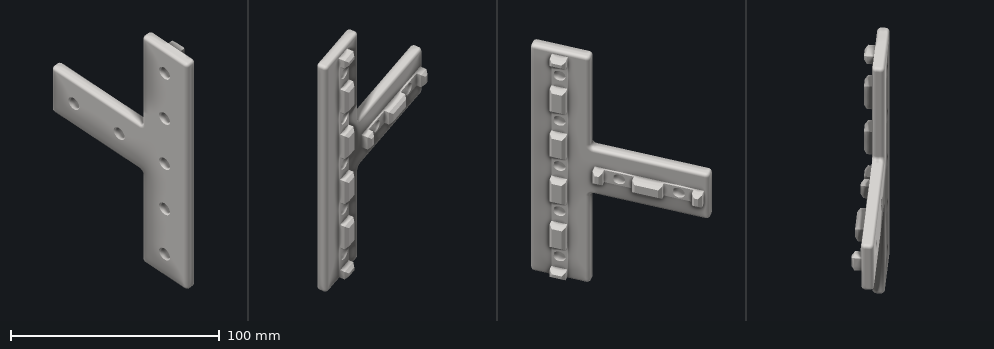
import cadquery as cq

BAR_WIDTH = 30.0
T_WIDTH = 90.0
T_HEIGHT = 150.0
PLATE_THICKNESS = 6.0
EDGE_RADIUS = 2.0

HOLE_DIAMETER = 6.2
HOLE_CHAMFER = 0.5

RAIL_WIDTH = 8.0
RAIL_END_GAP = 2.5
STRIP_HEIGHT = 1.0
TAB_HEIGHT = 5.0
TAB_CHAMFER = 1.5
TAB_GAP = 15.0

ARM_LENGTH = T_WIDTH - BAR_WIDTH
STEM_X = T_WIDTH - BAR_WIDTH / 2
ARM_Z = T_HEIGHT / 2
ARM_HOLES = [BAR_WIDTH * (i + 0.5) for i in range(round(ARM_LENGTH / BAR_WIDTH))]
STEM_HOLES = [BAR_WIDTH * (i + 0.5) for i in range(round(T_HEIGHT / BAR_WIDTH))]


def box_between(x_range, y_range, z_range):
    """Axis-aligned box given by its limits along X, Y and Z."""
    limits = (x_range, y_range, z_range)
    sizes = [high - low for low, high in limits]
    corner = tuple(low for low, high in limits)
    return cq.Workplane("XY").box(*sizes, centered=False).translate(corner)


def make_plate():
    """T-shaped plate with every edge rounded."""
    thickness = (0, PLATE_THICKNESS)
    arm_sides = (ARM_Z - BAR_WIDTH / 2, ARM_Z + BAR_WIDTH / 2)
    stem = box_between((ARM_LENGTH, T_WIDTH), thickness, (0, T_HEIGHT))
    arm = box_between((0, T_WIDTH), thickness, arm_sides)
    return stem.union(arm).clean().edges().fillet(EDGE_RADIUS)


def make_tab(start, end):
    """Tab along local X, standing on local Z = 0, with its four top edges sloped."""
    tab = cq.Workplane("XY").box(end - start, RAIL_WIDTH, TAB_HEIGHT, centered=(True, True, False))
    tab = tab.faces(">Z").chamfer(TAB_CHAMFER)
    return tab.translate(((start + end) / 2, 0, 0))


def make_rail(rail_end, hole_positions):
    """Rail along local X, standing on local Z = 0, with a tab on either side of every hole."""
    strip_length = rail_end - RAIL_END_GAP
    rail = cq.Workplane("XY").box(strip_length, RAIL_WIDTH, STRIP_HEIGHT, centered=(False, True, False))
    rail = rail.translate((RAIL_END_GAP, 0, 0))
    tab_starts = [RAIL_END_GAP] + [hole + TAB_GAP / 2 for hole in hole_positions]
    tab_ends = [hole - TAB_GAP / 2 for hole in hole_positions] + [rail_end]
    for start, end in zip(tab_starts, tab_ends):
        rail = rail.union(make_tab(start, end))
    return rail


def make_arm_rail():
    """Rail on the back of the arm, running along X."""
    rail = make_rail(ARM_LENGTH - RAIL_END_GAP, ARM_HOLES)
    return rail.rotate((0, 0, 0), (1, 0, 0), -90).translate((0, PLATE_THICKNESS, ARM_Z))


def make_stem_rail():
    """Rail on the back of the stem, running along Z."""
    rail = make_rail(T_HEIGHT - RAIL_END_GAP, STEM_HOLES)
    rail = rail.rotate((0, 0, 0), (1, 0, 0), -90).rotate((0, 0, 0), (0, 1, 0), -90)
    return rail.translate((STEM_X, PLATE_THICKNESS, 0))


def make_hole_cutter(x, z):
    """Through hole along Y with a small chamfer at the front face."""
    radius = HOLE_DIAMETER / 2
    depth = PLATE_THICKNESS + TAB_HEIGHT
    axis = cq.Vector(0, 1, 0)
    mouth = cq.Vector(x, 0, z)
    bore = cq.Solid.makeCylinder(radius, depth, mouth, axis)
    chamfer = cq.Solid.makeCone(radius + HOLE_CHAMFER, radius, HOLE_CHAMFER, mouth, axis)
    return bore.fuse(chamfer)


result = make_plate().union(make_arm_rail()).union(make_stem_rail())
hole_centres = [(x, ARM_Z) for x in ARM_HOLES] + [(STEM_X, z) for z in STEM_HOLES]
for hole_x, hole_z in hole_centres:
    result = result.cut(make_hole_cutter(hole_x, hole_z))